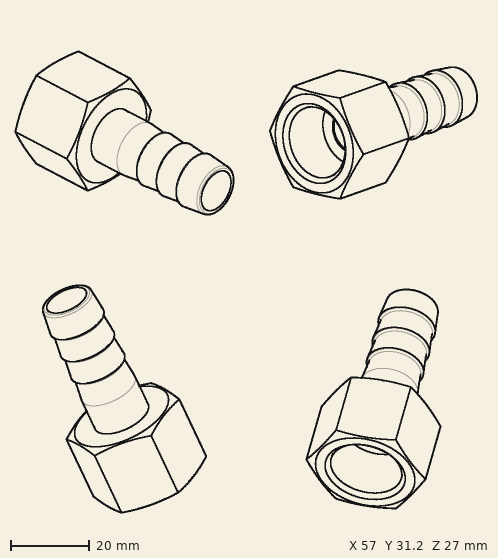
import cadquery as cq
import math

overall_length = 57.0

nut_length = 20.0
nut_across_flats = 27.0
nut_across_corners = nut_across_flats / math.cos(math.radians(30))
nut_face_diameter = 26.0
nut_bevel_depth = 0.9
bore_diameter = 18.65
bore_mouth_diameter = 21.0
bore_mouth_depth = (bore_mouth_diameter - bore_diameter) / 2
nut_wall = 3.0

shank_diameter = 15.0
collar_diameter = 18.0
collar_thickness = 2.85
passage_diameter = 11.0
passage_mouth_diameter = 11.5
barb_count = 4
barbs_start = 29.0
barb_root_diameter = 13.5
barb_fillet = 0.5
barb_pitch = (overall_length - barbs_start) / barb_count
collar_back = nut_length - nut_wall
collar_front = collar_back - collar_thickness


def revolve_about_x(profile):
    """Turn a closed (x, radius) profile about the X axis."""
    return profile.revolve(360, (0, 0, 0), (1, 0, 0))


def nut_bevel_envelope():
    """Turned shape that bevels the hexagon corners at both ends of the nut."""
    face_radius = nut_face_diameter / 2
    corner_radius = nut_across_corners / 2
    return revolve_about_x(
        cq.Workplane("XY")
        .lineTo(0, face_radius)
        .lineTo(nut_bevel_depth, corner_radius)
        .lineTo(nut_length - nut_bevel_depth, corner_radius)
        .lineTo(nut_length, face_radius)
        .lineTo(nut_length, 0)
        .close()
    )


def nut_cavity():
    """Flared mouth, bore and the hole through the closed end."""
    bore_radius = bore_diameter / 2
    shank_radius = shank_diameter / 2
    return revolve_about_x(
        cq.Workplane("XY")
        .lineTo(0, bore_mouth_diameter / 2)
        .lineTo(bore_mouth_depth, bore_radius)
        .lineTo(collar_back, bore_radius)
        .lineTo(collar_back, shank_radius)
        .lineTo(nut_length, shank_radius)
        .lineTo(nut_length, 0)
        .close()
    )


def make_union_nut():
    """Hexagon nut with two corners on the Y axis."""
    hexagon = cq.Workplane("YZ").polygon(6, nut_across_corners).extrude(nut_length)
    return hexagon.intersect(nut_bevel_envelope()).cut(nut_cavity())


def barb_root_edges(body):
    """Small-diameter circles where each barb ends, including the free end."""
    root_radius = barb_root_diameter / 2
    tolerance = 0.005
    return body.edges("%CIRCLE").filter(
        lambda edge: abs(edge.radius() - root_radius) < tolerance
    )


def make_hose_tail():
    """Collar, plain shank and a row of tapered barbs around a through passage."""
    shank_radius = shank_diameter / 2
    profile = (
        cq.Workplane("XY")
        .moveTo(collar_front, 0)
        .lineTo(collar_front, collar_diameter / 2)
        .lineTo(collar_back, collar_diameter / 2)
        .lineTo(collar_back, shank_radius)
        .lineTo(barbs_start, shank_radius)
    )
    for barb in range(barb_count):
        barb_end = barbs_start + (barb + 1) * barb_pitch
        profile = profile.lineTo(barb_end, barb_root_diameter / 2)
        if barb < barb_count - 1:
            profile = profile.lineTo(barb_end, shank_radius)
    body = revolve_about_x(profile.lineTo(overall_length, 0).close())
    body = barb_root_edges(body).fillet(barb_fillet)

    body = body.faces("<X").workplane().hole(passage_diameter)
    passage_mouth = body.faces("<X").edges(cq.selectors.RadiusNthSelector(0))
    return passage_mouth.chamfer((passage_mouth_diameter - passage_diameter) / 2)


union_nut = make_union_nut()
hose_tail = make_hose_tail()

result = cq.Compound.makeCompound([union_nut.val(), hose_tail.val()])